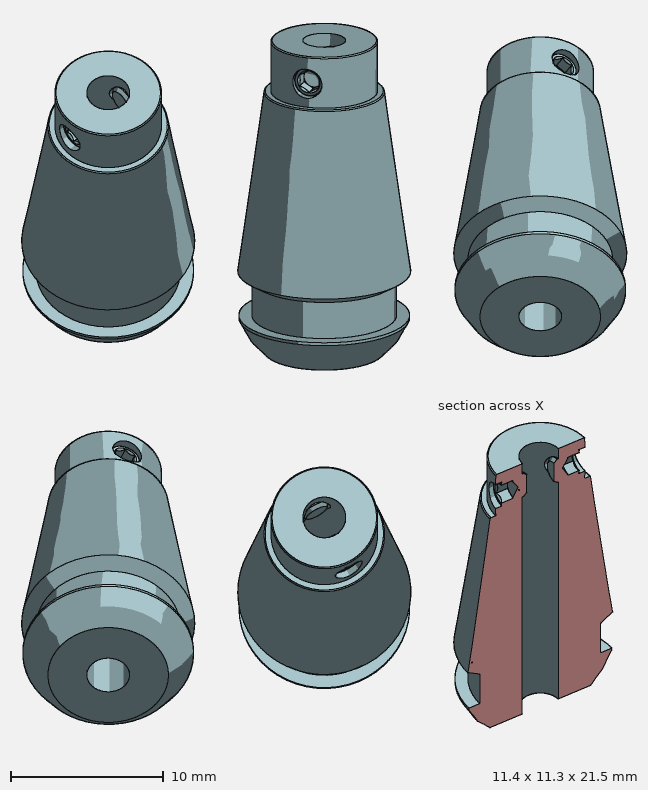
import cadquery as cq
import math

total_height = 21.5
neck_bottom = 18.0
taper_bottom = 5.52
groove_top = 4.97
groove_bottom = 2.47
rim_height = 0.2
knee_height = 1.0

neck_radius = 7.0 / 2
taper_top_radius = 7.9 / 2
taper_bottom_radius = 11.35 / 2
groove_radius = 9.5 / 2
rim_radius = 11.2 / 2
knee_radius = 4.9
base_radius = 3.95
edge_chamfer = 0.08

bore_radius = 2.8 / 2

screw_height = 19.62
screw_radius = 2.01 / 2
screw_head = 3.05
screw_head_chamfer = 0.05
screw_tip = 1.05
tip_length = 0.25
tip_radius = 0.78

socket_flats = 1.3
socket_depth = 0.9
socket_corner_radius = socket_flats / math.sqrt(3)
mouth_radius = 0.78
mouth_depth = 0.15
drill_point_depth = 0.4


def turned_body():
    """Neck, taper, groove and rim, turned about the Z axis."""
    outline = (
        cq.Workplane("XZ")
        .moveTo(0, 0)
        .lineTo(base_radius, 0)
        .lineTo(knee_radius, knee_height)
        .lineTo(rim_radius, groove_bottom - rim_height)
        .lineTo(rim_radius, groove_bottom)
        .lineTo(groove_radius, groove_bottom)
        .lineTo(groove_radius, groove_top)
        .lineTo(taper_bottom_radius, taper_bottom)
        .lineTo(taper_top_radius, neck_bottom - edge_chamfer)
        .lineTo(taper_top_radius - edge_chamfer, neck_bottom)
        .lineTo(neck_radius, neck_bottom)
        .lineTo(neck_radius, total_height - edge_chamfer)
        .lineTo(neck_radius - edge_chamfer, total_height)
        .lineTo(0, total_height)
        .close()
    )
    return outline.revolve(360, (0, 0, 0), (0, 1, 0))


def screw_hole():
    """Cross hole through both sides of the neck along Y."""
    return (
        cq.Workplane("XZ", origin=(0, 0, screw_height))
        .circle(screw_radius)
        .extrude(neck_radius, both=True)
    )


def screw_blank():
    """Screw without its socket, turned about the Y axis with the head facing -Y."""
    outline = (
        cq.Workplane("XY")
        .moveTo(0, -screw_tip)
        .lineTo(tip_radius, -screw_tip)
        .lineTo(screw_radius, -screw_tip - tip_length)
        .lineTo(screw_radius, -screw_head + screw_head_chamfer)
        .lineTo(screw_radius - screw_head_chamfer, -screw_head)
        .lineTo(0, -screw_head)
        .close()
    )
    return outline.revolve(360, (0, 0, 0), (0, 1, 0))


def cone(radius, depth, start):
    """Cone with its base at Y = start and its point further in along +Y."""
    base_center = cq.Vector(0, start, 0)
    direction = cq.Vector(0, 1, 0)
    return cq.Workplane(cq.Solid.makeCone(radius, 0, depth, base_center, direction))


def screw_socket():
    """Hexagon with two flats facing -X and +X, opened at the mouth and pointed at the bottom."""
    hexagon = (
        cq.Workplane("XZ", origin=(0, -screw_head, 0))
        .transformed(rotate=(0, 0, 90))
        .polygon(6, 2 * socket_corner_radius)
        .extrude(-socket_depth)
    )
    mouth_narrowing = (mouth_radius - socket_flats / 2) / mouth_depth
    mouth = cone(mouth_radius, mouth_radius / mouth_narrowing, -screw_head)
    drill_point = cone(socket_flats / 2, drill_point_depth, socket_depth - screw_head)
    return hexagon.union(mouth).union(drill_point)


set_screw = screw_blank().cut(screw_socket()).translate((0, 0, screw_height))
bore = cq.Workplane("XY").circle(bore_radius).extrude(total_height)

result = turned_body().cut(bore).cut(screw_hole())
for side_angle in (0, 180):
    result = result.union(set_screw.rotate((0, 0, 0), (0, 0, 1), side_angle))